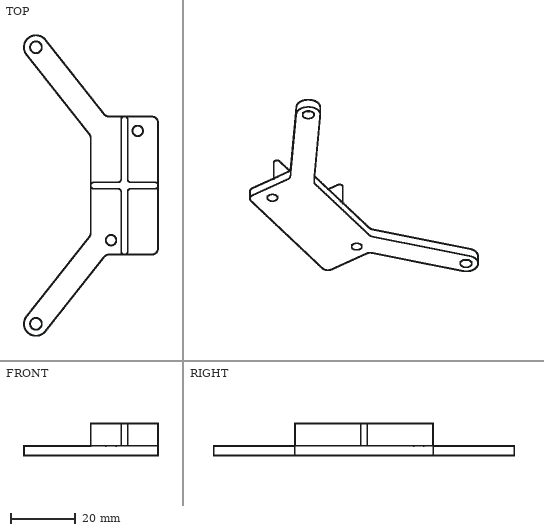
import cadquery as cq
import math

PLATE_WIDTH = 21.0
PLATE_LENGTH = 43.0
PLATE_THICKNESS = 3.0
PLATE_CORNER_RADIUS = 2.0

TOTAL_HEIGHT = 10.0
RIB_THICKNESS = 2.0
RIB_INNER_RADIUS = 1.0

ARM_HOLE_X = -27.5
ARM_HOLE_Y = 43.0
ARM_WIDTH = 7.5
ARM_ANGLE = 51.7
ARM_TIP_RADIUS = 3.7
ARM_ROOT_RADIUS = 2.0

ARM_HOLE_DIAMETER = 3.6
PLATE_HOLE_DIAMETER = 3.2
PLATE_HOLE_X = 4.15
PLATE_HOLE_Y = 17.0


def make_base():
    """Plate and both arms as one flat outline, with rounded corners."""
    half_width = PLATE_WIDTH / 2
    half_length = PLATE_LENGTH / 2
    half_arm = ARM_WIDTH / 2
    cos_a = math.cos(math.radians(ARM_ANGLE))
    sin_a = math.sin(math.radians(ARM_ANGLE))

    tip_x = ARM_HOLE_X - half_arm * cos_a
    tip_y = ARM_HOLE_Y + half_arm * sin_a
    tip_outer = (tip_x + half_arm * sin_a, tip_y + half_arm * cos_a)
    tip_inner = (tip_x - half_arm * sin_a, tip_y - half_arm * cos_a)
    root_outer = (tip_outer[0] + (tip_outer[1] - half_length) * cos_a / sin_a, half_length)
    root_inner = (-half_width, tip_inner[1] - (-half_width - tip_inner[0]) * sin_a / cos_a)

    upper = [(half_width, half_length), root_outer, tip_outer, tip_inner, root_inner]
    lower = [(x, -y) for x, y in reversed(upper)]
    base = cq.Workplane("XY").polyline(upper + lower).close().extrude(PLATE_THICKNESS)

    corner_radii = [
        PLATE_CORNER_RADIUS,
        ARM_ROOT_RADIUS,
        ARM_TIP_RADIUS,
        ARM_TIP_RADIUS,
        ARM_ROOT_RADIUS,
    ]
    for (x, y), radius in zip(upper, corner_radii):
        for side in (1, -1):
            corner = cq.NearestToPointSelector((x, side * y, PLATE_THICKNESS / 2))
            base = base.edges("|Z").edges(corner).fillet(radius)
    return base


def make_rib_bar(length, angle):
    """One bar of the cross with fully rounded ends, turned by an angle from the X axis."""
    height = TOTAL_HEIGHT - PLATE_THICKNESS
    bar = cq.Workplane("XY").workplane(offset=PLATE_THICKNESS)
    return bar.slot2D(length, RIB_THICKNESS, angle).extrude(height)


def make_cross_rib():
    """Two crossing bars with filleted inner corners."""
    long_bar = make_rib_bar(PLATE_LENGTH, 90)
    short_bar = make_rib_bar(PLATE_WIDTH, 0)
    cross = long_bar.union(short_bar)
    inner_corners = cq.selectors.BoxSelector(
        (-RIB_THICKNESS, -RIB_THICKNESS, PLATE_THICKNESS),
        (RIB_THICKNESS, RIB_THICKNESS, TOTAL_HEIGHT),
    )
    return cross.edges("|Z").edges(inner_corners).fillet(RIB_INNER_RADIUS)


def make_holes(points, diameter):
    """Cutters for through holes in the plate and arms."""
    return cq.Workplane("XY").pushPoints(points).circle(diameter / 2).extrude(PLATE_THICKNESS)


arm_holes = make_holes([(ARM_HOLE_X, ARM_HOLE_Y), (ARM_HOLE_X, -ARM_HOLE_Y)], ARM_HOLE_DIAMETER)
plate_holes = make_holes(
    [(PLATE_HOLE_X, PLATE_HOLE_Y), (-PLATE_HOLE_X, -PLATE_HOLE_Y)], PLATE_HOLE_DIAMETER
)

result = make_base().union(make_cross_rib()).cut(arm_holes).cut(plate_holes)